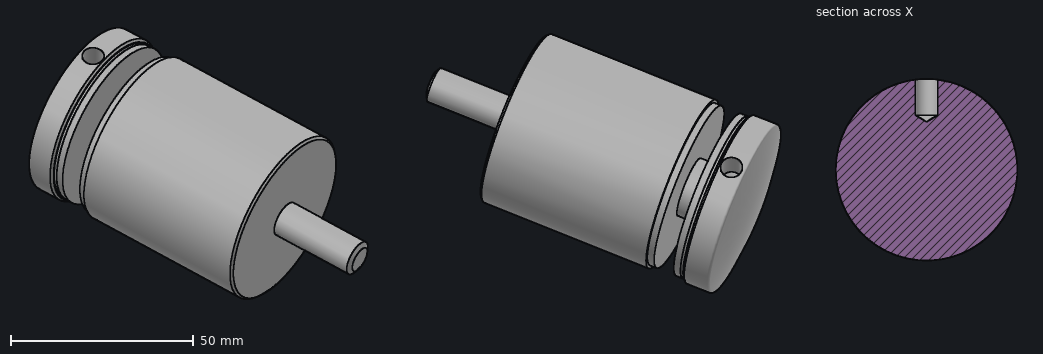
import cadquery as cq
import math

total_length = 97.0
body_diameter = 50.0
body_radius = body_diameter / 2

dome_height = 3.0
rim_width = 8.0
rim_front_fillet = 0.8
rim_back_chamfer = 0.7
neck_length = 0.9
neck_radius = 24.0

gasket_radius = 24.1
gasket_thickness = 2.0
bushing_radius = 8.5
clamp_gap = 5.8
barrel_length = 50.0
barrel_chamfer = 0.7

stud_radius = 5.0
stud_tip_length = 0.9
stud_tip_taper = 1.5

cross_hole_radius = 3.0
cross_hole_depth = 10.0
drill_point_angle = 118.0

rim_start = dome_height
rim_end = rim_start + rim_width
cap_end = rim_end + neck_length
bushing_start = cap_end + gasket_thickness
bushing_end = bushing_start + clamp_gap
barrel_start = bushing_end + gasket_thickness
barrel_end = barrel_start + barrel_length
cross_hole_x = rim_start + (rim_width + rim_front_fillet - rim_back_chamfer) / 2


def make_disc(radius, start, length):
    return cq.Workplane("YZ", origin=(start, 0, 0)).circle(radius).extrude(length)


def make_cross_hole():
    """Blind drilled hole with a conical bottom, along Z."""
    cone_height = cross_hole_radius / math.tan(math.radians(drill_point_angle / 2))
    floor = body_radius - cross_hole_depth
    return (
        cq.Workplane("XZ", origin=(cross_hole_x, 0, 0))
        .moveTo(0, body_radius)
        .lineTo(cross_hole_radius, body_radius)
        .lineTo(cross_hole_radius, floor)
        .lineTo(0, floor - cone_height)
        .close()
        .revolve(360, (0, 0, 0), (0, 1, 0))
    )


def make_cap():
    """Domed disc with a rounded front edge, a chamfered back edge, a short neck and a drilled cross hole."""
    sphere_radius = (body_radius**2 + dome_height**2) / (2 * dome_height)
    mid_radius = body_radius / 2
    mid_x = sphere_radius - math.sqrt(sphere_radius**2 - mid_radius**2)
    profile = (
        cq.Workplane("XY")
        .moveTo(0, 0)
        .threePointArc((mid_x, mid_radius), (rim_start, body_radius))
        .lineTo(rim_end - rim_back_chamfer, body_radius)
        .lineTo(rim_end, body_radius - rim_back_chamfer)
        .lineTo(rim_end, neck_radius)
        .lineTo(cap_end, neck_radius)
        .lineTo(cap_end, 0)
        .close()
    )
    blank = profile.revolve(360, (0, 0, 0), (1, 0, 0))
    front_edge = cq.selectors.NearestToPointSelector((rim_start, 0, 0))
    rounded = blank.edges("%CIRCLE").edges(front_edge).fillet(rim_front_fillet)
    return rounded.cut(make_cross_hole())


def make_gasket(start):
    return make_disc(gasket_radius, start, gasket_thickness)


def make_bushing():
    return make_disc(bushing_radius, bushing_start, clamp_gap)


def make_barrel():
    barrel = make_disc(body_radius, barrel_start, barrel_length)
    return barrel.faces(">X").chamfer(barrel_chamfer)


def make_stud():
    stud = make_disc(stud_radius, barrel_end, total_length - barrel_end)
    return stud.faces(">X").chamfer(stud_tip_length, stud_tip_taper)


cap = make_cap()
gaskets = [make_gasket(start) for start in (cap_end, bushing_end)]
bushing = make_bushing()
barrel = make_barrel()
stud = make_stud()

result = cq.Compound.makeCompound(
    [cap.val(), *[gasket.val() for gasket in gaskets], bushing.val(), barrel.val(), stud.val()]
)